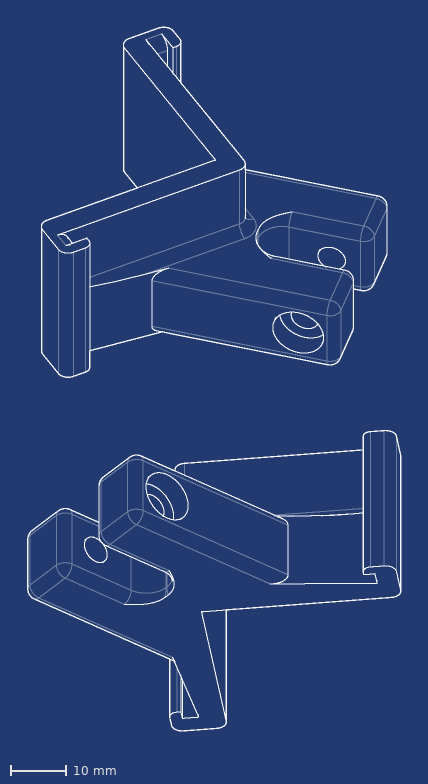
import cadquery as cq
import math


PLATE_HEIGHT = 30.0
PLATE_THICKNESS = 4.5
ARM_LENGTH = 36.6
HOOK_WALL = 1.7
HOOK_GAP = 3.25
LIP_THICKNESS = 2.25
LIP_LENGTH = 6.0
OUTER_ROUND = 2.0
LIP_TIP_ROUND = 1.5
PLUG_LENGTH = 2.25

FORK_HEIGHT = 15.0
FORK_END_X = 28.0
FORK_HALF_WIDTH = 16.5
SLOT_HALF_WIDTH = 4.65
SLOT_END_X = 8.0
SLOT_ROUND = 4.5
EDGE_ROUND = 2.0
PLATE_FILLET = 2.0

HOLE_X = 20.55
HOLE_DIAMETER = 5.2
COUNTERBORE_DIAMETER = 9.6
COUNTERBORE_DEPTH = 4.3

TOLERANCE = 0.01

HOOK_HEIGHT = PLATE_THICKNESS + HOOK_GAP + LIP_THICKNESS
GAP_TOP = PLATE_THICKNESS + HOOK_GAP
GAP_END = ARM_LENGTH - HOOK_WALL
LIP_END = ARM_LENGTH - LIP_LENGTH
APEX_X = PLATE_THICKNESS * math.sqrt(2)
HOLE_Z = FORK_HEIGHT / 2


def arm_point(u, v):
    """XY position of a point given in the coordinates of the +Y arm."""
    return ((v - u) / math.sqrt(2), (u + v) / math.sqrt(2))


def both_sides(half):
    """Join a solid on the +Y side with its mirror image."""
    return half.union(half.mirror("XZ"))


def vertical_edge_at(x, y):
    """Selector for the vertical edge standing at the given XY position."""
    return cq.selectors.BoxSelector(
        (x - TOLERANCE, y - TOLERANCE, 0), (x + TOLERANCE, y + TOLERANCE, PLATE_HEIGHT)
    )


def make_hook_plate():
    """V plate: one hooked arm, mirrored, with the outer corners rounded."""
    outer_foot = arm_point(ARM_LENGTH, 0)
    outer_top = arm_point(ARM_LENGTH, HOOK_HEIGHT)
    lip_tip = arm_point(LIP_END, HOOK_HEIGHT)
    outline = [
        (0, 0),
        outer_foot,
        outer_top,
        lip_tip,
        arm_point(LIP_END, GAP_TOP),
        arm_point(GAP_END, GAP_TOP),
        arm_point(GAP_END, PLATE_THICKNESS),
        (APEX_X, 0),
    ]
    arm = cq.Workplane("XY").polyline(outline).close().extrude(PLATE_HEIGHT)
    arm = arm.edges(vertical_edge_at(*outer_foot)).fillet(OUTER_ROUND)
    arm = arm.edges(vertical_edge_at(*outer_top)).fillet(OUTER_ROUND)
    arm = arm.edges(vertical_edge_at(*lip_tip)).fillet(LIP_TIP_ROUND)
    plate = both_sides(arm)
    return plate.edges(vertical_edge_at(APEX_X, 0)).fillet(OUTER_ROUND)


def make_hook_plug():
    """Stop in the closed end of the hook, its top rounded down towards the opening."""
    profile = (
        cq.Workplane("XZ")
        .moveTo(GAP_END - PLUG_LENGTH, 0)
        .lineTo(GAP_END, 0)
        .lineTo(GAP_END, PLATE_HEIGHT)
        .radiusArc((GAP_END - PLUG_LENGTH, PLATE_HEIGHT - PLUG_LENGTH), -PLUG_LENGTH)
        .close()
    )
    plug = profile.extrude(HOOK_GAP).translate((0, -PLATE_THICKNESS, 0))
    arm_direction = 135
    return plug.rotate((0, 0, 0), (0, 0, 1), arm_direction)


def make_web():
    """Low body between plate and fork, tapering out to the closed ends of the hooks."""
    hook_x, hook_y = arm_point(GAP_END, PLATE_THICKNESS)
    taper_slope = (SLOT_HALF_WIDTH - hook_y) / (SLOT_END_X - hook_x)
    shoulder_y = SLOT_HALF_WIDTH + EDGE_ROUND
    shoulder_x = hook_x + (shoulder_y - hook_y) / taper_slope
    outline = [
        (0, 0),
        (hook_x, hook_y),
        (shoulder_x, shoulder_y),
        (SLOT_END_X, shoulder_y),
        (SLOT_END_X, 0),
    ]
    return both_sides(cq.Workplane("XY").polyline(outline).close().extrude(FORK_HEIGHT))


def is_web_to_plate_edge(edge):
    """True for the edges where the top of the web meets the outside of the plate."""
    if abs(edge.Center().z - FORK_HEIGHT) > TOLERANCE:
        return False
    if edge.geomType() == "CIRCLE":
        return True
    ends = [edge.startPoint(), edge.endPoint()]
    offsets = [(end.x + abs(end.y)) / math.sqrt(2) for end in ends]
    return all(abs(offset - PLATE_THICKNESS) < TOLERANCE for offset in offsets)


def make_fork_arm():
    """+Y fork arm with every edge rounded except at its slanted root inside the plate."""
    root_x = APEX_X / 2
    outline = [
        (root_x - SLOT_HALF_WIDTH, SLOT_HALF_WIDTH),
        (root_x - FORK_HALF_WIDTH, FORK_HALF_WIDTH),
        (FORK_END_X, FORK_HALF_WIDTH),
        (FORK_END_X, SLOT_HALF_WIDTH),
    ]
    arm = cq.Workplane("XY").polyline(outline).close().extrude(FORK_HEIGHT)
    return arm.edges("|X or >X").fillet(EDGE_ROUND)


def make_slot_corner():
    """Fill between the slot's end wall and the +Y fork arm, blended over the arm's rounded edges.

    The blend is rolled around the arm against an oversized wall, then trimmed to the fork's height.
    """
    wall_depth = FORK_END_X
    wall_width = 4 * FORK_HALF_WIDTH
    wall_height = 4 * FORK_HEIGHT
    wall = cq.Workplane("XY").box(wall_depth, wall_width, wall_height)
    wall = wall.translate((SLOT_END_X - wall_depth / 2, 0, 0))
    margin = EDGE_ROUND / 2
    arm_outline_on_wall = cq.selectors.BoxSelector(
        (SLOT_END_X - margin, 0, -margin),
        (SLOT_END_X + margin, FORK_HALF_WIDTH + margin, FORK_HEIGHT + margin),
        boundingbox=True,
    )
    blended = wall.union(make_fork_arm()).edges(arm_outline_on_wall).fillet(SLOT_ROUND)
    arm_middle_y = (SLOT_HALF_WIDTH + FORK_HALF_WIDTH) / 2
    corner_region = (
        cq.Workplane("XY", origin=(SLOT_END_X, 0, 0))
        .rect(SLOT_ROUND, arm_middle_y, centered=False)
        .extrude(FORK_HEIGHT)
    )
    return blended.intersect(corner_region)


def make_cross_hole():
    """Cutter for the hole through both fork arms and its outer counterbores."""
    bore = (
        cq.Workplane("XZ", origin=(HOLE_X, 0, HOLE_Z))
        .circle(HOLE_DIAMETER / 2)
        .extrude(FORK_HALF_WIDTH, both=True)
    )
    counterbore = (
        cq.Workplane("XZ", origin=(HOLE_X, FORK_HALF_WIDTH, HOLE_Z))
        .circle(COUNTERBORE_DIAMETER / 2)
        .extrude(COUNTERBORE_DEPTH)
    )
    return bore.union(both_sides(counterbore))


body = make_hook_plate().union(make_web())
web_edges = [edge for edge in body.edges().vals() if is_web_to_plate_edge(edge)]
body = body.newObject(web_edges).fillet(PLATE_FILLET)
for half_feature in (make_hook_plug(), make_fork_arm(), make_slot_corner()):
    body = body.union(half_feature).union(half_feature.mirror("XZ"))
result = body.cut(make_cross_hole())